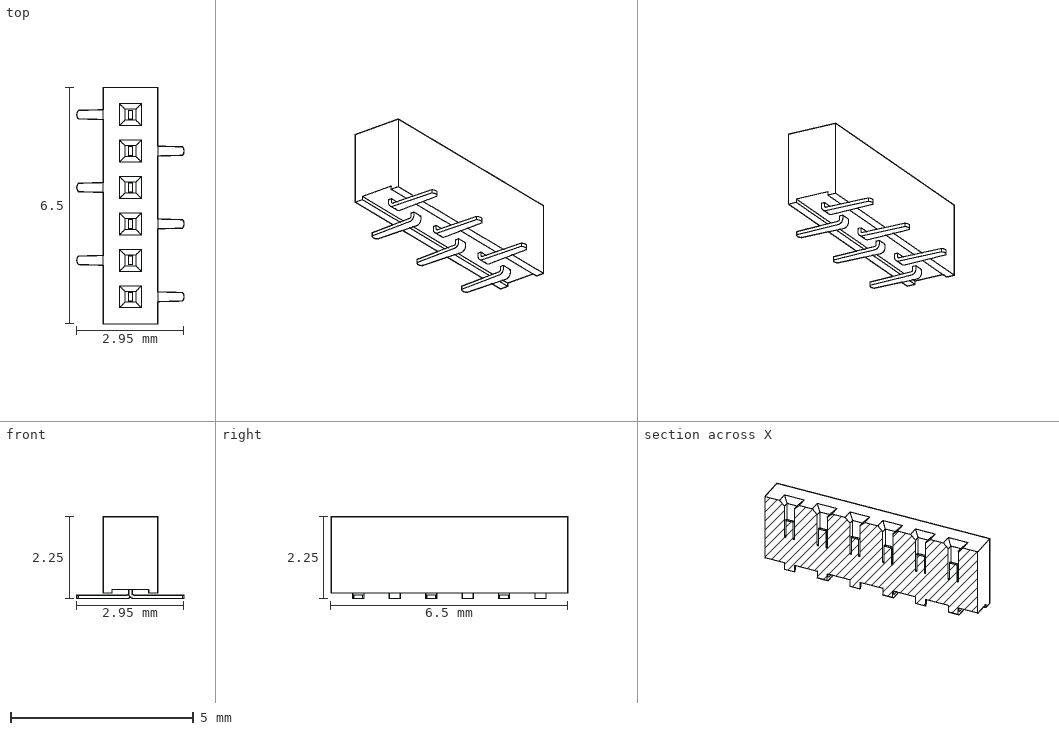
import cadquery as cq
import math

PIN_COUNT = 6
PITCH = 1.0
HOUSING_WIDTH = 1.5
END_MARGIN = 0.25
HOUSING_LENGTH = PIN_COUNT * PITCH + 2 * END_MARGIN
OVERALL_HEIGHT = 2.25
STANDOFF = 0.15
FOOT_WIDTH = 0.25
FOOT_HEIGHT = 0.1

MOUTH_SIZE = 0.6
BORE_SIZE = 0.3
FUNNEL_DEPTH = 0.15
BORE_DEPTH = 1.0

CONTACT_SPAN = 2.95
SHEET = 0.1
BEND_RADIUS = 0.05
STEM_WIDTH = 0.31
TIP_WIDTH = 0.24
TIP_BULGE = 0.05
BLADE_WIDTH = 0.24
BLADE_DEPTH = 0.6

recess_z = STANDOFF + FOOT_HEIGHT
floor_z = OVERALL_HEIGHT - FUNNEL_DEPTH - BORE_DEPTH
pin_rows = [(i - (PIN_COUNT - 1) / 2) * PITCH for i in range(PIN_COUNT)]


def make_housing():
    """Rectangular block with a full-length recess between two feet."""
    height = OVERALL_HEIGHT - STANDOFF
    block = cq.Workplane("XY").box(HOUSING_WIDTH, HOUSING_LENGTH, height, centered=(True, True, False))
    recess_width = HOUSING_WIDTH - 2 * FOOT_WIDTH
    recess = cq.Workplane("XY").box(recess_width, HOUSING_LENGTH, FOOT_HEIGHT, centered=(True, True, False))
    return block.cut(recess).translate((0, 0, STANDOFF))


def make_socket(y):
    """Square funnel leading into a square blind bore."""
    funnel = (
        cq.Workplane("XY", origin=(0, y, OVERALL_HEIGHT))
        .rect(MOUTH_SIZE, MOUTH_SIZE)
        .workplane(offset=-FUNNEL_DEPTH)
        .rect(BORE_SIZE, BORE_SIZE)
        .loft()
    )
    bore = (
        cq.Workplane("XY", origin=(0, y, floor_z))
        .rect(BORE_SIZE, BORE_SIZE)
        .extrude(BORE_DEPTH)
    )
    return funnel.union(bore)


def make_contact(y, side):
    """Bent contact: blade in the socket, stem below it and a tapered tail; side is -1 or 1 along X."""
    half_sheet = SHEET / 2
    bend_end = half_sheet + BEND_RADIUS
    bend_top = SHEET + BEND_RADIUS
    tail_end = CONTACT_SPAN / 2
    tail_edge = tail_end - TIP_BULGE

    outer_radius = SHEET + BEND_RADIUS
    diagonal = math.sqrt(0.5)
    outer_mid = (bend_end - outer_radius * diagonal, bend_top - outer_radius * diagonal)
    inner_mid = (bend_end - BEND_RADIUS * diagonal, bend_top - BEND_RADIUS * diagonal)
    stem = (
        cq.Workplane("XZ")
        .moveTo(-half_sheet, floor_z)
        .lineTo(-half_sheet, bend_top)
        .threePointArc(outer_mid, (bend_end, 0))
        .lineTo(bend_end, SHEET)
        .threePointArc(inner_mid, (half_sheet, bend_top))
        .lineTo(half_sheet, floor_z)
        .close()
        .extrude(STEM_WIDTH / 2, both=True)
    )
    tail = (
        cq.Workplane("XY")
        .moveTo(bend_end, -STEM_WIDTH / 2)
        .lineTo(tail_edge, -TIP_WIDTH / 2)
        .threePointArc((tail_end, 0), (tail_edge, TIP_WIDTH / 2))
        .lineTo(bend_end, STEM_WIDTH / 2)
        .close()
        .extrude(SHEET)
    )
    blade = (
        cq.Workplane("XY", origin=(0, 0, recess_z))
        .rect(SHEET, BLADE_WIDTH)
        .extrude(OVERALL_HEIGHT - BLADE_DEPTH - recess_z)
    )
    contact = stem.union(tail).union(blade)
    if side < 0:
        contact = contact.mirror("YZ")
    return contact.translate((0, y, 0))


result = make_housing()
for y in pin_rows:
    result = result.cut(make_socket(y))
for index, y in enumerate(pin_rows):
    side = 1 if index % 2 == 0 else -1
    result = result.union(make_contact(y, side))